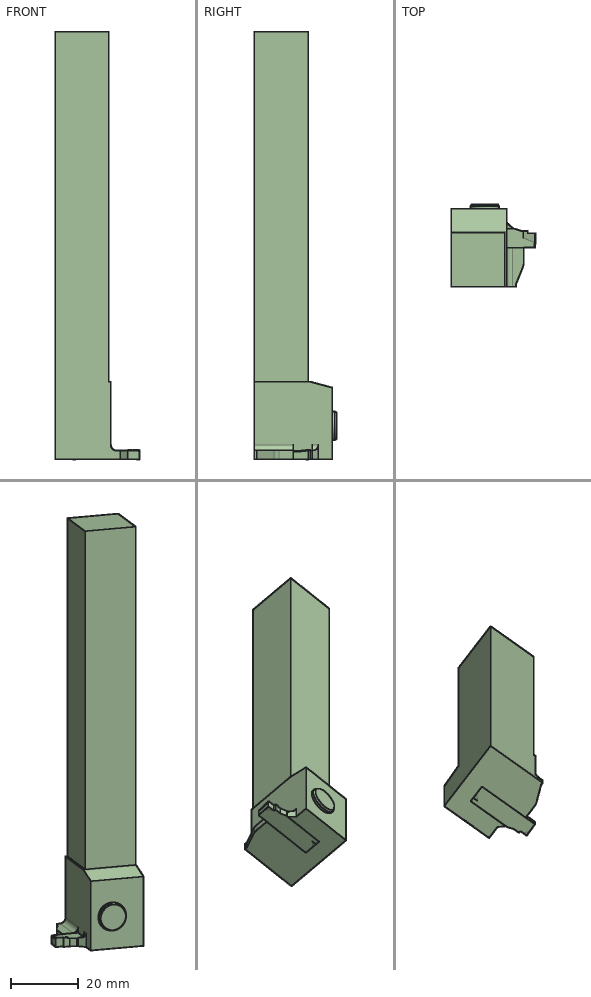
import cadquery as cq
import math

overall_length = 25.03
overall_depth = 24.4
overall_height = 126.37
corner_overhang = 0.05

shank_width = 15.875
shank_depth = 16.0
shank_top = overall_height - corner_overhang
head_width = 16.5
head_depth = 23.1
head_height = 23.0
head_ledge_depth = 0.45
head_slope = math.radians(15)
head_slope_start = shank_depth + head_ledge_depth
head_rear_height = head_height - (head_depth - head_slope_start) * math.tan(head_slope)

blade_height = 2.68
blade_reach = 21.5
blade_front_reach = 19.2
blade_flat_front = 0.8
blade_taper_end = 6.5
blade_corner_radius = 4.0
blade_fillet = 1.6
backing_rear = 18.9
backing_reach = 18.4

screw_diameter = 8.5
screw_rim_height = 0.6
screw_rim_inset = 0.35
screw_x = 9.95
screw_z = 9.95
screw_projection = overall_depth - head_depth

insert_start = 5.4
insert_front = 11.6
insert_height = 2.55
insert_rear = 17.2
insert_end_relief = 0.15
insert_end_chamfer = 0.3
rake_face = 15.9
rake_start = 22.7
rake_step = 0.65
rake_step_rear = rake_face + rake_step
shoulder_start = 18.8
neck_start = 20.8

flare_start_x = 21.3
flare_start_y = 14.5
flare_skew = math.radians(-22)
flare_rise = math.radians(6.6)
flare_span = 5.0

wedge_length = 1.5
wedge_depth = 1.5


def make_holder_body():
    """Shank and head, with the sloped shoulder behind the shank."""
    shank = cq.Workplane("XY").box(shank_width, shank_depth, shank_top, centered=False)
    head = (
        cq.Workplane("YZ")
        .moveTo(0, 0)
        .lineTo(head_depth, 0)
        .lineTo(head_depth, head_rear_height)
        .lineTo(head_slope_start, head_height)
        .lineTo(0, head_height)
        .close()
        .extrude(head_width)
    )
    return shank.union(head)


def make_root_fillet(front, rear):
    """Concave fillet between the head's side and the top of the blade."""
    return (
        cq.Workplane("XZ", origin=(0, front, 0))
        .moveTo(head_width, blade_height)
        .lineTo(head_width + blade_fillet, blade_height)
        .radiusArc((head_width, blade_height + blade_fillet), blade_fillet)
        .close()
        .extrude(front - rear)
    )


def make_front_blade():
    """Tapered blade in front of the insert."""
    plate = (
        cq.Workplane("XY")
        .moveTo(insert_start, 0)
        .lineTo(blade_front_reach, 0)
        .lineTo(blade_front_reach, blade_flat_front)
        .lineTo(blade_reach, blade_taper_end)
        .lineTo(blade_reach, insert_front)
        .lineTo(insert_start, insert_front)
        .close()
        .extrude(blade_height)
    )
    taper_corner = cq.selectors.NearestToPointSelector((blade_reach, blade_taper_end, blade_height / 2))
    rounded_plate = plate.edges("|Z").edges(taper_corner).fillet(blade_corner_radius)
    return rounded_plate.union(make_root_fillet(0, insert_front))


def make_backing():
    """Triangular gusset behind the insert, topped by the same root fillet."""
    outline = (
        cq.Workplane("XY")
        .moveTo(insert_start, insert_rear)
        .lineTo(backing_reach, insert_rear)
        .lineTo(head_width, backing_rear)
        .lineTo(insert_start, backing_rear)
        .close()
        .extrude(head_height / 2)
    )
    plate = cq.Workplane("XY").box(blade_reach, backing_rear, blade_height, centered=False)
    return plate.union(make_root_fillet(insert_rear, backing_rear)).intersect(outline)


def make_screw_head():
    """Screw head standing proud of the rear face, with a beveled rim."""
    return (
        cq.Workplane("XZ", origin=(screw_x, head_depth, screw_z))
        .circle(screw_diameter / 2)
        .extrude(-screw_projection)
        .faces(">Y")
        .edges()
        .chamfer(screw_rim_height, screw_rim_inset)
    )


def make_insert_bar(height):
    """Insert outline extruded up from the bottom of the holder."""
    return (
        cq.Workplane("XY")
        .moveTo(insert_start, insert_front)
        .lineTo(overall_length - insert_end_relief, insert_front)
        .lineTo(overall_length, rake_face)
        .lineTo(rake_start, rake_face)
        .lineTo(rake_start, rake_step_rear)
        .lineTo(neck_start, rake_step_rear)
        .lineTo(shoulder_start, insert_rear)
        .lineTo(insert_start, insert_rear)
        .close()
        .extrude(height)
    )


def make_tetrahedron(a, b, c, d):
    """Solid with four triangular faces on the given corner points."""
    triangles = [(a, b, c), (a, b, d), (b, c, d), (a, c, d)]
    faces = [cq.Face.makeFromWires(cq.Wire.makePolygon(corners, close=True)) for corners in triangles]
    return cq.Workplane(cq.Solid.makeSolid(cq.Shell.makeShell(faces)))


def make_tip_flare():
    """Raised wedge on top of the cutting tip, trimmed to the insert outline."""
    skewed_plane = cq.Plane(
        origin=(flare_start_x, flare_start_y, insert_height),
        xDir=(-math.sin(flare_skew), math.cos(flare_skew), 0),
        normal=(math.cos(flare_skew), math.sin(flare_skew), 0),
    )
    rise = flare_span * math.tan(flare_rise)
    wedge = (
        cq.Workplane(skewed_plane)
        .polyline([(0, 0), (flare_span, 0), (flare_span, rise)])
        .close()
        .extrude(flare_span, both=True)
    )
    tip_zone = cq.Workplane("XY", origin=(flare_start_x, 0, 0)).box(
        flare_span, overall_depth, head_height, centered=False
    )
    return wedge.intersect(tip_zone).intersect(make_insert_bar(head_height))


def make_cutting_corner(tip_x, inward):
    """Slim wedge under one end of the insert, lowest at the tip's rake corner."""
    tip = cq.Vector(tip_x, rake_face, 0)
    lowest = tip - cq.Vector(0, 0, corner_overhang)
    return make_tetrahedron(
        tip, tip + cq.Vector(inward * wedge_length, 0, 0), tip - cq.Vector(0, wedge_depth, 0), lowest
    )


insert_bar = make_insert_bar(insert_height)
holder = (
    make_holder_body()
    .union(make_front_blade())
    .union(make_backing())
    .union(make_screw_head())
    .cut(insert_bar)
)
end_top_edges = cq.selectors.BoxSelector(
    (overall_length - 2 * insert_end_relief, 0, insert_height - insert_end_chamfer),
    (overall_length + insert_end_relief, overall_depth, head_height),
)
insert = (
    insert_bar.union(make_tip_flare())
    .edges(end_top_edges)
    .chamfer(insert_end_chamfer)
    .union(make_cutting_corner(overall_length - insert_end_relief, -1))
    .union(make_cutting_corner(insert_start, 1))
)
result = cq.Compound.makeCompound([holder.val(), insert.val()])